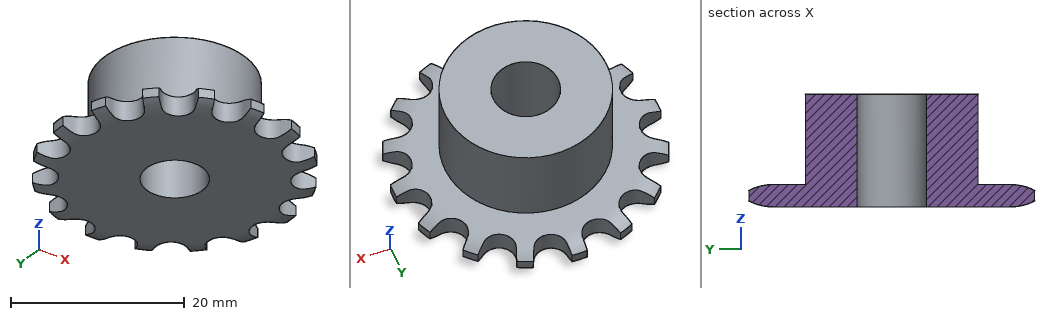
import cadquery as cq
import math

tooth_count = 16
chain_pitch = 6.0
roller_diameter = 4.0
tip_diameter = 33.0
plate_thickness = 2.6
tooth_side_radius = 6.0
tooth_side_depth = 2.8
tip_width = 1.9
hub_diameter = 20.0
total_height = 13.0
bore_diameter = 8.0
cut_overshoot = 1.0

pitch_angle = 360.0 / tooth_count
half_pitch_angle = math.radians(pitch_angle / 2)
pitch_radius = chain_pitch / (2 * math.sin(half_pitch_angle))
seat_radius = roller_diameter / 2
tip_radius = tip_diameter / 2
rounding_start_radius = tip_radius - tooth_side_depth


def make_blank():
    """Revolved disc whose two faces curve tangentially towards a narrow rim."""
    def drop(depth):
        return tooth_side_radius - math.sqrt(tooth_side_radius**2 - depth**2)

    mid_depth = tooth_side_depth / 2
    mid_radius = rounding_start_radius + mid_depth
    tip_drop = drop(tooth_side_depth)
    mid_drop = drop(mid_depth)
    return (
        cq.Workplane("XZ")
        .lineTo(rounding_start_radius, 0)
        .threePointArc((mid_radius, mid_drop), (tip_radius, tip_drop))
        .lineTo(tip_radius, plate_thickness - tip_drop)
        .threePointArc(
            (mid_radius, plate_thickness - mid_drop),
            (rounding_start_radius, plate_thickness),
        )
        .lineTo(0, plate_thickness)
        .close()
        .revolve(360, (0, 0, 0), (0, 1, 0))
    )


def make_tooth_gap():
    """Cutter for one gap, opening along +X: a roller seat with tangent straight flanks."""
    corner_angle = half_pitch_angle - math.asin(tip_width / tip_diameter)
    corner_x = tip_radius * math.cos(corner_angle)
    corner_y = tip_radius * math.sin(corner_angle)

    offset_x = corner_x - pitch_radius
    corner_distance = math.hypot(offset_x, corner_y)
    normal_angle = math.atan2(corner_y, offset_x) + math.acos(seat_radius / corner_distance)
    tangent_x = pitch_radius + seat_radius * math.cos(normal_angle)
    tangent_y = seat_radius * math.sin(normal_angle)

    outer_x = corner_x + cut_overshoot * math.sin(normal_angle)
    outer_y = corner_y - cut_overshoot * math.cos(normal_angle)

    return (
        cq.Workplane("XY")
        .moveTo(outer_x, outer_y)
        .lineTo(tangent_x, tangent_y)
        .threePointArc((pitch_radius - seat_radius, 0), (tangent_x, -tangent_y))
        .lineTo(outer_x, -outer_y)
        .close()
        .extrude(plate_thickness)
    )


def cut_teeth(blank):
    """Cut all gaps, half a pitch off the X axis so that teeth lie on the axes."""
    gap = make_tooth_gap()
    for index in range(tooth_count):
        angle = (index + 0.5) * pitch_angle
        blank = blank.cut(gap.rotate((0, 0, 0), (0, 0, 1), angle))
    return blank


hub = cq.Workplane("XY").circle(hub_diameter / 2).extrude(total_height)
bore = cq.Workplane("XY").circle(bore_diameter / 2).extrude(total_height)
result = cut_teeth(make_blank()).union(hub).cut(bore)